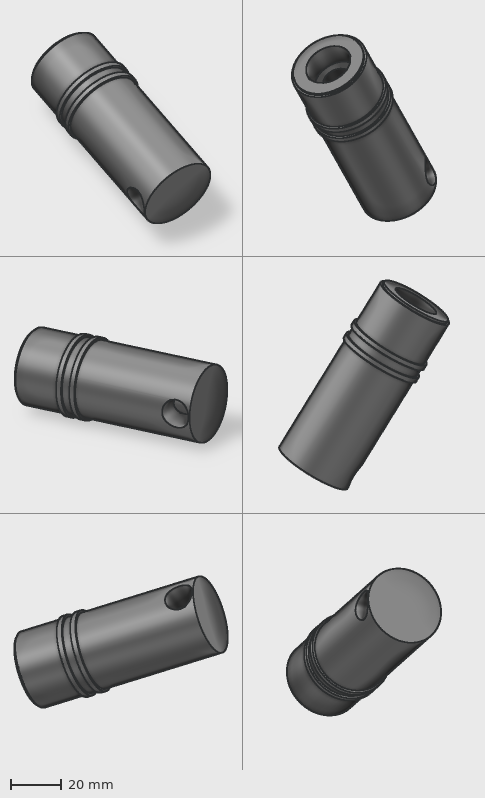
import cadquery as cq

overall_length = 80.0
housing_diameter = 32.0
nose_diameter = 30.0
nose_length = 1.0

socket_diameter = 19.0
socket_depth = 10.0

passage_diameter = 12.0
end_wall = 0.5
outlet_x = overall_length - end_wall - passage_diameter / 2

ring_diameter = 34.0
ring_width = 2.2
first_ring_center = 21.0
ring_pitch = 6.0
ring_count = 2


def disc_along_x(diameter, length, start_x):
    """Solid cylinder on the X axis, starting at start_x."""
    return cq.Workplane("YZ", origin=(start_x, 0, 0)).circle(diameter / 2).extrude(length)


def make_passage():
    """Elbow passage with a mitred corner, from the socket floor to past the -Y side."""
    path = (
        cq.Workplane("XY")
        .moveTo(socket_depth, 0)
        .lineTo(outlet_x, 0)
        .lineTo(outlet_x, -housing_diameter)
    )
    start = cq.Workplane("YZ", origin=(socket_depth, 0, 0)).circle(passage_diameter / 2)
    return start.sweep(path, transition="right")


def make_housing():
    nose = disc_along_x(nose_diameter, nose_length, 0)
    barrel = disc_along_x(housing_diameter, overall_length - nose_length, nose_length)
    socket = disc_along_x(socket_diameter, socket_depth, 0)
    return nose.union(barrel).cut(socket).cut(make_passage())


def make_ring(center_x):
    """Flat ring seated on the outside of the housing."""
    return (
        cq.Workplane("YZ", origin=(center_x - ring_width / 2, 0, 0))
        .circle(ring_diameter / 2)
        .circle(housing_diameter / 2)
        .extrude(ring_width)
    )


housing = make_housing()
rings = [make_ring(first_ring_center + index * ring_pitch) for index in range(ring_count)]

result = cq.Compound.makeCompound([*housing.solids().vals(), *[ring.val() for ring in rings]])